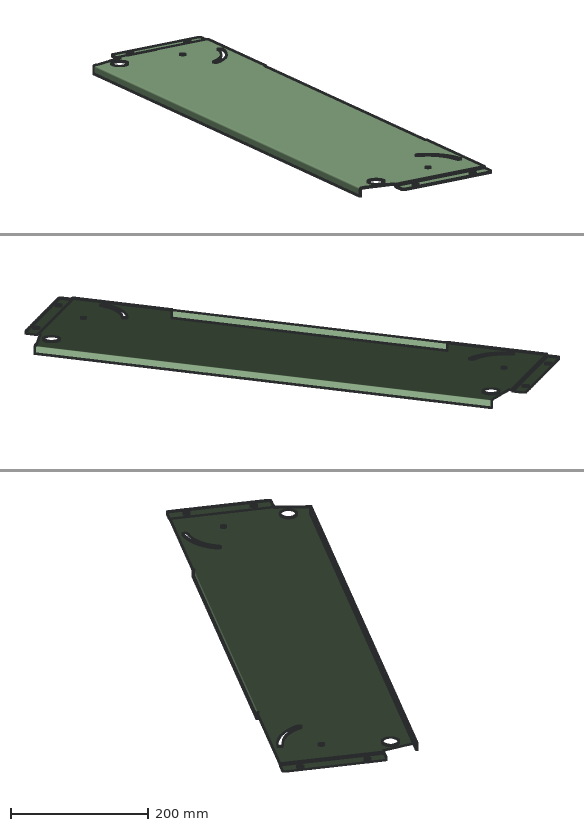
import cadquery as cq
import math

length = 771.5
depth = 209.0
height = 13.0

sheet = 2.0
bend_inner_radius = 1.0
bend_outer_radius = bend_inner_radius + sheet

tab_length = 156.0
tab_drop = 2.15
tab_corner_radius = 4.0
joggle_inner_x = 365.0
joggle_outer_x = 367.0

taper_start_x = 361.0
taper_end_y = -95.0

front_flange_length = 703.5
rear_flange_length = 424.0

tab_hole_x = 377.0
tab_hole_diameter = 9.0
tab_hole_middle_y = 26.0
tab_hole_spacing = 100.0
large_hole_x = 339.0
large_hole_y = -67.0
large_hole_diameter = 25.0
pivot_x = 324.0
pivot_y = 33.0
pivot_diameter = 8.0

slot_radius = 60.0
slot_width = 8.0
slot_start_angle = 20.0
slot_end_angle = 81.0

half_length = length / 2
half_depth = depth / 2
tab_front_y = half_depth - tab_length
tab_middle_y = half_depth - tab_length / 2
front_bend_y = -half_depth + bend_outer_radius
rear_bend_y = half_depth - bend_outer_radius


def make_panel():
    """Flat panel with tapered front corners and a shallow recess for the rear bend."""
    half_front = front_flange_length / 2
    half_rear = rear_flange_length / 2
    right_side = [
        (half_front, front_bend_y),
        (half_front, taper_end_y),
        (taper_start_x, tab_front_y),
        (joggle_inner_x, tab_front_y),
        (joggle_inner_x, half_depth),
        (half_rear, half_depth),
        (half_rear, rear_bend_y),
    ]
    left_side = [(-x, y) for x, y in reversed(right_side)]
    return cq.Workplane("XY").polyline(right_side + left_side).close().extrude(-sheet)


def make_flange(flange_length, direction):
    """Bent-down flange on the front (direction -1) or rear (direction +1) edge."""
    outer_y = direction * half_depth
    inner_y = direction * (half_depth - sheet)
    bend_y = direction * (half_depth - bend_outer_radius)
    diagonal = math.sqrt(0.5)
    outer_mid = (
        bend_y + direction * bend_outer_radius * diagonal,
        -bend_outer_radius * (1 - diagonal),
    )
    inner_mid = (
        bend_y + direction * bend_inner_radius * diagonal,
        -bend_outer_radius + bend_inner_radius * diagonal,
    )
    return (
        cq.Workplane("YZ")
        .moveTo(bend_y, 0)
        .threePointArc(outer_mid, (outer_y, -bend_outer_radius))
        .lineTo(outer_y, -height)
        .lineTo(inner_y, -height)
        .lineTo(inner_y, -bend_outer_radius)
        .threePointArc(inner_mid, (bend_y, -sheet))
        .close()
        .extrude(flange_length / 2, both=True)
    )


def make_right_tab():
    """Joggle and lowered tab on the +X end, with rounded outer corners."""
    joggle_slope = math.atan2(tab_drop, joggle_outer_x - joggle_inner_x)
    underside_shift = sheet * math.tan(joggle_slope / 2)
    return (
        cq.Workplane("XZ", origin=(0, tab_middle_y, 0))
        .moveTo(joggle_inner_x - underside_shift, 0)
        .lineTo(joggle_inner_x, 0)
        .lineTo(joggle_outer_x, -tab_drop)
        .lineTo(half_length, -tab_drop)
        .lineTo(half_length, -tab_drop - sheet)
        .lineTo(joggle_outer_x - underside_shift, -tab_drop - sheet)
        .lineTo(joggle_inner_x - underside_shift, -sheet)
        .close()
        .extrude(tab_length / 2, both=True)
        .edges("|Z and >X")
        .fillet(tab_corner_radius)
    )


def vertical_hole(x, y, diameter):
    return cq.Workplane("XY").center(x, y).circle(diameter / 2).extrude(height, both=True)


def make_arc_slot():
    """Round-ended slot on the +X side, curving from the panel middle towards the rear."""

    def slot_point(radius, angle):
        turn = math.radians(angle)
        return (pivot_x - radius * math.cos(turn), pivot_y + radius * math.sin(turn))

    inner = slot_radius - slot_width / 2
    outer = slot_radius + slot_width / 2
    middle_angle = (slot_start_angle + slot_end_angle) / 2
    cap_angle = math.degrees(slot_width / 2 / slot_radius)
    return (
        cq.Workplane("XY")
        .moveTo(*slot_point(inner, slot_start_angle))
        .threePointArc(slot_point(inner, middle_angle), slot_point(inner, slot_end_angle))
        .threePointArc(
            slot_point(slot_radius, slot_end_angle + cap_angle), slot_point(outer, slot_end_angle)
        )
        .threePointArc(slot_point(outer, middle_angle), slot_point(outer, slot_start_angle))
        .threePointArc(
            slot_point(slot_radius, slot_start_angle - cap_angle), slot_point(inner, slot_start_angle)
        )
        .close()
        .extrude(height, both=True)
    )


def make_right_cuts():
    """All openings on the +X half."""
    cuts = make_arc_slot()
    cuts = cuts.add(vertical_hole(pivot_x, pivot_y, pivot_diameter))
    cuts = cuts.add(vertical_hole(large_hole_x, large_hole_y, large_hole_diameter))
    for side in (-1, 1):
        hole_y = tab_hole_middle_y + side * tab_hole_spacing / 2
        cuts = cuts.add(vertical_hole(tab_hole_x, hole_y, tab_hole_diameter))
    return cuts.combine()


right_tab = make_right_tab()
right_cuts = make_right_cuts()

result = (
    make_panel()
    .union(make_flange(front_flange_length, -1))
    .union(make_flange(rear_flange_length, 1))
    .union(right_tab)
    .union(right_tab.mirror("YZ"))
    .cut(right_cuts)
    .cut(right_cuts.mirror("YZ"))
)